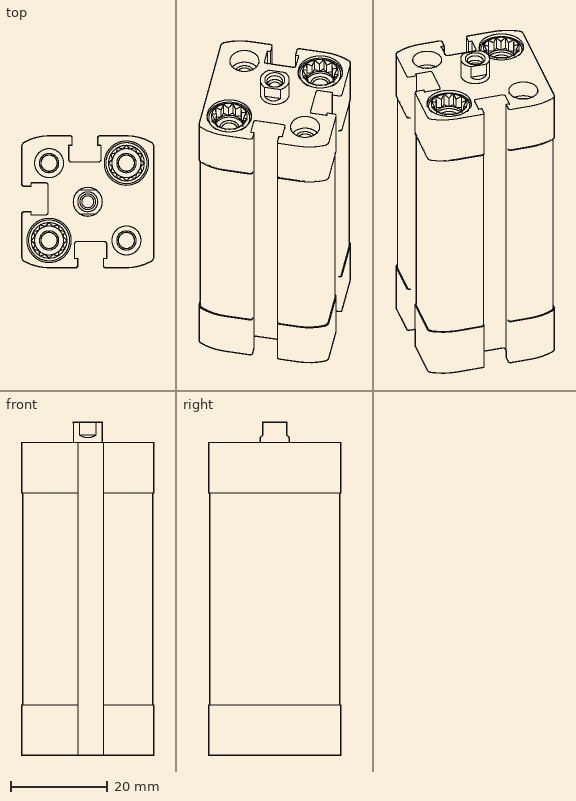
import cadquery as cq
import math

overall_length = 69.2
side = 27.5
rod_projection = 4.2
body_length = overall_length - rod_projection
cap_length = 10.5
tube_inset = 0.2

crown_width = 5.8
crown_radius = 10.85
corner_fillet = 1.25

slot_mouth = 5.25
slot_width = 6.65
slot_depth = 5.5
lip_depth = 2.0
slot_offset = 0.59
mouth_fillet = 0.5
floor_fillet = 0.5
slots = [(90, slot_offset), (180, -slot_offset), (270, slot_offset)]

hole_offset = 8.0
hole_diameter = 3.3
countersink_diameter = 4.0
counterbore_diameter = 6.0
counterbore_depth = 3.5

groove_diameter = 9.2
groove_inner_diameter = 8.5
groove_depth = 0.7
rim_recess = 0.15
rim_radius = groove_inner_diameter / 2 - (groove_depth - rim_recess)
tooth_count = 12
socket_depth = 3.0
tooth_root_radius = 3.75
tooth_tip_radius = counterbore_diameter / 2
socket_first_tip = 15.0

rod_diameter = 6.0
flat_width = 5.0
flat_length = 2.7
thread_diameter = 3.25
thread_depth = 1.6
thread_countersink = 4.15
core_diameter = 2.5
core_depth = 8.3
drill_point_slope = 30.0
drill_point_height = core_diameter / 2 * math.tan(math.radians(drill_point_slope))
rod_seat_depth = 13.85
rod_base = body_length - rod_seat_depth


def outer_block(inset, bottom, height):
    """Square block with crowned corners, inset evenly from the cap outline."""
    half = side / 2 - inset
    straight = half - crown_width
    crown_drop = crown_radius - math.sqrt(crown_radius**2 - crown_width**2)
    middle_angle = math.asin(crown_width / crown_radius) / 2
    mid_x = straight + crown_radius * math.sin(middle_angle)
    mid_y = half - crown_radius * (1 - math.cos(middle_angle))
    edge_y = half - crown_drop
    return (
        cq.Workplane("XY", origin=(0, 0, bottom))
        .moveTo(-straight, half)
        .lineTo(straight, half)
        .threePointArc((mid_x, mid_y), (half, edge_y))
        .lineTo(half, -edge_y)
        .threePointArc((mid_x, -mid_y), (straight, -half))
        .lineTo(-straight, -half)
        .threePointArc((-mid_x, -mid_y), (-half, -edge_y))
        .lineTo(-half, edge_y)
        .threePointArc((-mid_x, mid_y), (-straight, half))
        .close()
        .extrude(height)
        .edges("|Z and (<X or >X)")
        .fillet(corner_fillet)
    )


def slot_cutter(angle, offset, inset, bottom, height):
    """T-slot open to the side at the given angle, offset to the left of its outward direction."""
    face = side / 2 - inset
    lip_bottom = side / 2 - lip_depth
    floor = side / 2 - slot_depth
    half_mouth = slot_mouth / 2
    half_slot = slot_width / 2
    flare = half_mouth + mouth_fillet
    bend = mouth_fillet * (1 - math.sqrt(0.5))
    return (
        cq.Workplane("XY", origin=(0, 0, bottom))
        .moveTo(floor, -half_slot)
        .lineTo(lip_bottom, -half_slot)
        .lineTo(lip_bottom, -half_mouth)
        .lineTo(face - mouth_fillet, -half_mouth)
        .threePointArc((face - bend, -half_mouth - bend), (face, -flare))
        .lineTo(face, flare)
        .threePointArc((face - bend, half_mouth + bend), (face - mouth_fillet, half_mouth))
        .lineTo(lip_bottom, half_mouth)
        .lineTo(lip_bottom, half_slot)
        .lineTo(floor, half_slot)
        .close()
        .extrude(height)
        .edges("|Z and <X")
        .fillet(floor_fillet)
        .translate((0, offset, 0))
        .rotate((0, 0, 0), (0, 0, 1), angle)
    )


def section_length(inset, bottom, height):
    """One length of the housing with its three slots."""
    block = outer_block(inset, bottom, height)
    for angle, offset in slots:
        block = block.cut(slot_cutter(angle, offset, inset, bottom, height))
    return block


def cone(lower_radius, upper_radius, bottom, height):
    """Cone frustum on the Z axis."""
    solid = cq.Solid.makeCone(lower_radius, upper_radius, height, cq.Vector(0, 0, bottom))
    return cq.Workplane(obj=solid)


def cylinder(diameter, bottom, top):
    """Cylinder on the Z axis."""
    return cq.Workplane("XY", origin=(0, 0, bottom)).circle(diameter / 2).extrude(top - bottom)


def counterbored_hole():
    """Through hole, countersunk at the floor of its counterbore."""
    floor = body_length - counterbore_depth
    countersink_depth = (countersink_diameter - hole_diameter) / 2
    countersink = cone(
        hole_diameter / 2, countersink_diameter / 2, floor - countersink_depth, countersink_depth
    )
    counterbore = cylinder(counterbore_diameter, floor, body_length)
    return cylinder(hole_diameter, 0, floor).union(countersink).union(counterbore)


def toothed_socket():
    """Twelve-point socket with a conical mouth, standing inside a ring groove."""
    points = []
    for index in range(2 * tooth_count):
        radius = tooth_root_radius if index % 2 else tooth_tip_radius
        angle = math.radians(socket_first_tip + index * 180 / tooth_count)
        points.append((radius * math.cos(angle), radius * math.sin(angle)))
    ledge = body_length - socket_depth
    socket = cq.Workplane("XY", origin=(0, 0, ledge)).polyline(points).close().extrude(socket_depth)
    rim_top = body_length - rim_recess
    mouth_depth = rim_radius - tooth_tip_radius
    mouth = cone(tooth_tip_radius, rim_radius, rim_top - mouth_depth, mouth_depth)
    groove_floor = body_length - groove_depth
    rim = cone(groove_inner_diameter / 2, rim_radius, groove_floor, rim_top - groove_floor)
    groove = cylinder(groove_diameter, groove_floor, body_length).cut(rim)
    return counterbored_hole().union(socket).union(mouth).union(groove)


def make_housing():
    """Tube between two wider end caps, with slots, corner holes and the rod bore."""
    housing = (
        section_length(0, 0, cap_length)
        .union(section_length(tube_inset, cap_length, body_length - 2 * cap_length))
        .union(section_length(0, body_length - cap_length, cap_length))
    )
    plain_hole = counterbored_hole()
    bearing_seat = toothed_socket()
    for sign in (-1, 1):
        position = sign * hole_offset
        housing = housing.cut(plain_hole.translate((position, -position, 0)))
        housing = housing.cut(bearing_seat.translate((position, position, 0)))
    return housing.cut(cylinder(rod_diameter, rod_base, body_length))


def flat_cutter():
    """Cuts one wrench flat, ending in a 45 degree run-out."""
    flat = flat_width / 2
    runout = rod_diameter / 2 - flat
    shoulder = overall_length - flat_length
    return (
        cq.Workplane("YZ", origin=(-rod_diameter / 2, 0, 0))
        .moveTo(flat, overall_length)
        .lineTo(flat, shoulder)
        .lineTo(flat + runout, shoulder - runout)
        .lineTo(flat + runout, overall_length)
        .close()
        .extrude(rod_diameter)
    )


def make_rod():
    """Rod with two wrench flats and a stepped blind hole in its end."""
    rod = cylinder(rod_diameter, rod_base, overall_length)
    flat = flat_cutter()
    rod = rod.cut(flat).cut(flat.mirror("XZ"))
    countersink_depth = (thread_countersink - thread_diameter) / 2
    rod = rod.cut(
        cone(thread_diameter / 2, thread_countersink / 2, overall_length - countersink_depth, countersink_depth)
    )
    rod = rod.cut(cylinder(thread_diameter, overall_length - thread_depth, overall_length))
    taper_depth = (thread_diameter - core_diameter) / 2
    taper_bottom = overall_length - thread_depth - taper_depth
    rod = rod.cut(cone(core_diameter / 2, thread_diameter / 2, taper_bottom, taper_depth))
    core_bottom = overall_length - core_depth
    rod = rod.cut(cylinder(core_diameter, core_bottom, overall_length))
    return rod.cut(cone(0, core_diameter / 2, core_bottom - drill_point_height, drill_point_height))


housing = make_housing()
rod = make_rod()
result = cq.Compound.makeCompound([housing.val(), rod.val()])